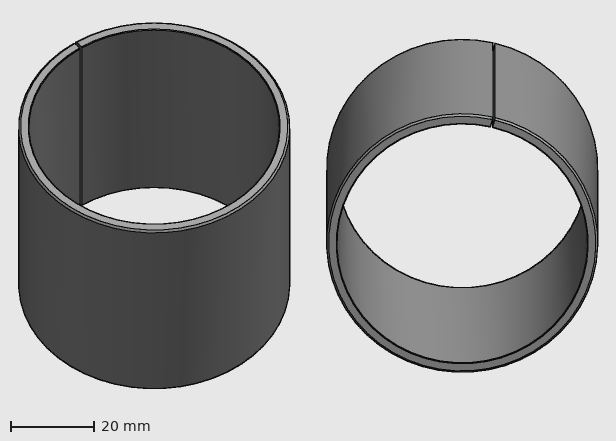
import cadquery as cq

outer_diameter = 65.0
inner_diameter = 60.0
length = 60.0
outer_chamfer = 0.5
inner_chamfer = 0.2
gap_angle = 1.0

outer_radius = outer_diameter / 2
inner_radius = inner_diameter / 2
half_length = length / 2


def wall_section():
    """Wall profile on the -X side, with all four rim corners chamfered."""
    return (
        cq.Workplane("XZ")
        .moveTo(-inner_radius, -half_length + inner_chamfer)
        .lineTo(-inner_radius - inner_chamfer, -half_length)
        .lineTo(-outer_radius + outer_chamfer, -half_length)
        .lineTo(-outer_radius, -half_length + outer_chamfer)
        .lineTo(-outer_radius, half_length - outer_chamfer)
        .lineTo(-outer_radius + outer_chamfer, half_length)
        .lineTo(-inner_radius - inner_chamfer, half_length)
        .lineTo(-inner_radius, half_length - inner_chamfer)
        .close()
    )


def make_bushing():
    """Sweep the wall counter-clockwise from the -X side, stopping short by the gap."""
    axis_start = (0, 0, 0)
    axis_end = (0, 1, 0)
    return wall_section().revolve(360 - gap_angle, axis_start, axis_end)


result = make_bushing()